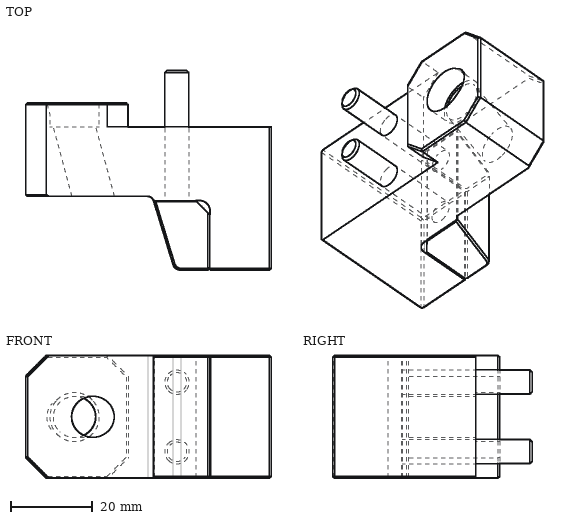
import cadquery as cq
import math

LENGTH = 60.0
HEIGHT = 30.0
ARM_FRONT = 18.0
ARM_BACK = 35.0
PAD_BACK = 40.85
PAD_LENGTH = 25.0
CORNER_CHAMFER = 5.05
EDGE_CHAMFER = 0.5

SEAT_BACK = 17.0
SEAT_RIGHT = 45.0
SEAT_FILLET = 2.5
ARM_FILLET = 1.5

JOINT_CHAMFER = 0.25

WEDGE_ANGLE = 17.0
WEDGE_LEFT = 31.2
WEDGE_FILLET = 2.0
WEDGE_CORNER_CHAMFER = 3.5

HOLE_DIAMETER = 10.0
HOLE_X = 16.45
HOLE_ANGLE = 15.0

RECESS_DIAMETER = 12.0

PIN_DIAMETER = 5.95
PIN_TIP = 48.8
PIN_CHAMFER = 0.6
PIN_X = 36.9
PIN_SPACING = 17.0

MID_Z = HEIGHT / 2
PIN_HEIGHTS = [MID_Z - PIN_SPACING / 2, MID_Z + PIN_SPACING / 2]
HOLE_EXIT_X = HOLE_X - (ARM_BACK - ARM_FRONT) * math.tan(math.radians(HOLE_ANGLE))
WEDGE_FOOT = WEDGE_LEFT + SEAT_BACK * math.tan(math.radians(WEDGE_ANGLE))


def upright_edge_at(x, y):
    """Selector for the edge along Z that stands at (x, y)."""
    return cq.selectors.NearestToPointSelector((x, y, MID_Z))


def arm_fillet_points():
    """Start, middle and end of the arc that turns the arm's front into the wedge's flank."""
    turn = math.radians(90 - WEDGE_ANGLE)
    start_x = WEDGE_LEFT - ARM_FILLET * math.sin(turn)

    def arc_point(angle):
        x = start_x + ARM_FILLET * math.sin(angle)
        y = ARM_FRONT - ARM_FILLET * (1 - math.cos(angle))
        return x, y

    return arc_point(0), arc_point(turn / 2), arc_point(turn)


def make_outline():
    """Plain housing block: the arm, the leg and the thicker pad at the left end."""
    arc_start, arc_middle, arc_end = arm_fillet_points()
    return (
        cq.Workplane("XY")
        .moveTo(0, PAD_BACK)
        .lineTo(0, ARM_FRONT)
        .lineTo(*arc_start)
        .threePointArc(arc_middle, arc_end)
        .lineTo(arc_end[0], SEAT_BACK)
        .lineTo(SEAT_RIGHT, SEAT_BACK)
        .lineTo(SEAT_RIGHT, 0)
        .lineTo(LENGTH, 0)
        .lineTo(LENGTH, ARM_BACK)
        .lineTo(PAD_LENGTH, ARM_BACK)
        .lineTo(PAD_LENGTH, PAD_BACK)
        .close()
        .extrude(HEIGHT)
    )


def chamfer_housing(body):
    """Cut the corners of the left end and pad, then break the small edges."""
    body = body.faces("<X").edges("|Y").chamfer(CORNER_CHAMFER)
    pad_corners = body.edges("|Y").filter(lambda edge: edge.Center().y > ARM_BACK)
    body = pad_corners.chamfer(CORNER_CHAMFER)
    body = body.faces(">Y").edges().chamfer(EDGE_CHAMFER)

    arm_front = body.faces(cq.selectors.NearestToPointSelector((HOLE_X, ARM_FRONT, MID_Z)))
    left_front = arm_front.edges().filter(lambda edge: edge.Center().x < CORNER_CHAMFER)
    body = left_front.chamfer(EDGE_CHAMFER)

    body = body.edges(upright_edge_at(SEAT_RIGHT, 0)).chamfer(JOINT_CHAMFER)
    right_end = body.faces(">X").edges("not >Y")
    leg_front = body.faces("<Y").edges("|X")
    return right_end.add(leg_front).chamfer(EDGE_CHAMFER)


def make_slanted_hole():
    """Cutter for the hole whose axis leans toward -X as it runs toward +Y."""
    return (
        cq.Workplane("XZ")
        .workplane(offset=PAD_BACK)
        .circle(HOLE_DIAMETER / 2)
        .extrude(-2 * PAD_BACK)
        .rotate((0, 0, 0), (0, 0, 1), HOLE_ANGLE)
        .translate((HOLE_X, ARM_FRONT, MID_Z))
    )


def make_recess():
    """Cutter that sinks the pad's back down to the level of the arm's back."""
    return (
        cq.Workplane("XZ", origin=(HOLE_EXIT_X, ARM_BACK, MID_Z))
        .circle(RECESS_DIAMETER / 2)
        .extrude(ARM_BACK - PAD_BACK)
    )


def make_pin_holes():
    """Cutters for the pin holes, which run straight through the arm."""
    return (
        cq.Workplane("XZ")
        .pushPoints([(PIN_X, z) for z in PIN_HEIGHTS])
        .circle(PIN_DIAMETER / 2)
        .extrude(-PIN_TIP)
    )


def make_housing():
    body = make_outline()
    body = body.edges(upright_edge_at(SEAT_RIGHT, SEAT_BACK)).fillet(SEAT_FILLET)
    body = chamfer_housing(body)
    return body.cut(make_slanted_hole()).cut(make_recess()).cut(make_pin_holes())


def make_wedge():
    """Block with a slanted flank that fills the seat, clear of the seat's fillet."""
    outline = [
        (WEDGE_LEFT, SEAT_BACK),
        (WEDGE_FOOT, 0),
        (SEAT_RIGHT, 0),
        (SEAT_RIGHT, SEAT_BACK - WEDGE_CORNER_CHAMFER),
        (SEAT_RIGHT - WEDGE_CORNER_CHAMFER, SEAT_BACK),
    ]
    wedge = cq.Workplane("XY").polyline(outline).close().extrude(HEIGHT)
    wedge = wedge.edges(upright_edge_at(WEDGE_FOOT, 0)).fillet(WEDGE_FILLET)
    wedge = wedge.edges(upright_edge_at(SEAT_RIGHT, 0)).chamfer(EDGE_CHAMFER)

    rim_limit = SEAT_BACK - WEDGE_CORNER_CHAMFER
    rims = wedge.faces("|Z").edges().filter(lambda edge: edge.Center().y < rim_limit)
    wedge = rims.chamfer(EDGE_CHAMFER)
    return wedge.faces(">Y").edges("|X or <X").chamfer(JOINT_CHAMFER)


def make_pin(z):
    """Pin that stands on the wedge's back face and sticks out behind the arm."""
    return (
        cq.Workplane("XZ", origin=(PIN_X, SEAT_BACK, z))
        .circle(PIN_DIAMETER / 2)
        .extrude(SEAT_BACK - PIN_TIP)
        .faces(">Y")
        .chamfer(PIN_CHAMFER)
    )


housing = make_housing().solids().val()
wedge = make_wedge().solids().val()
pins = [make_pin(z).solids().val() for z in PIN_HEIGHTS]
result = cq.Compound.makeCompound([housing, wedge, *pins])